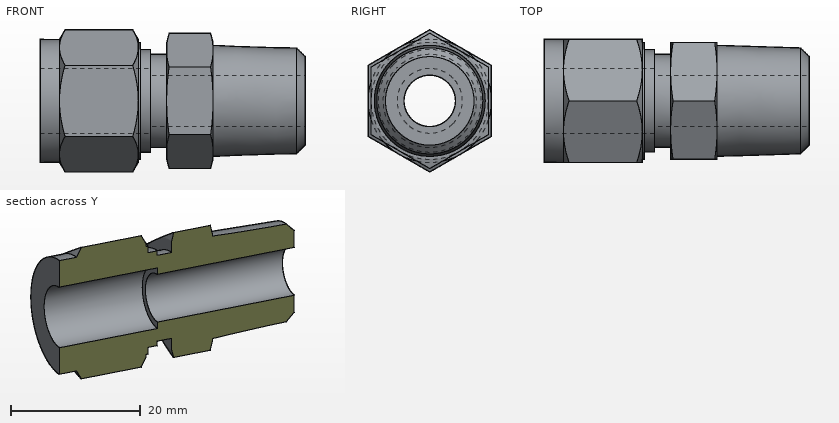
import cadquery as cq
import math


total_length = 40.9
collar_end = 3.0
nut_end = 15.15
washer_face_end = 15.45
shoulder_end = 17.05
neck_end = 19.5
body_hex_end = 26.65
taper_start = 27.15
taper_end = 39.5

nut_across_flats = 19.0
nut_chamfer_angle = 30.0
body_across_flats = 18.08
body_chamfer_angle = 15.0

collar_diameter = nut_across_flats
washer_face_diameter = body_across_flats
shoulder_diameter = 15.85
neck_diameter = 14.4
taper_large_diameter = 17.15
taper_diameter_ratio = 1 / 16
tip_diameter = 13.65

tube_socket_diameter = 10.02
tube_socket_depth = shoulder_end
through_bore_diameter = 7.9


def cylinder(start, end, diameter):
    """Cylinder along X between two stations."""
    return cq.Workplane("YZ").workplane(offset=start).circle(diameter / 2).extrude(end - start)


def revolve_about_x(points):
    """Revolve a closed (station, radius) outline around the X axis."""
    return cq.Workplane("XY").polyline(points).close().revolve(360, (0, 0, 0), (1, 0, 0))


def chamfered_hexagon(start, end, across_flats, chamfer_angle):
    """Hexagonal prism along X with its corners coned down to the inscribed circle at both ends."""
    flat_radius = across_flats / 2
    corner_radius = flat_radius / math.cos(math.radians(30))
    chamfer_length = (corner_radius - flat_radius) * math.tan(math.radians(chamfer_angle))
    prism = (
        cq.Workplane("YZ")
        .workplane(offset=start)
        .transformed(rotate=(0, 0, 90))
        .polygon(6, 2 * corner_radius)
        .extrude(end - start)
    )
    envelope = revolve_about_x([
        (start, 0),
        (start, flat_radius),
        (start + chamfer_length, corner_radius),
        (end - chamfer_length, corner_radius),
        (end, flat_radius),
        (end, 0),
    ])
    return prism.intersect(envelope)


def tapered_end():
    """Short cylindrical run, taper and chamfered tip of the male end."""
    large_radius = taper_large_diameter / 2
    small_radius = large_radius - (taper_end - taper_start) * taper_diameter_ratio / 2
    return revolve_about_x([
        (body_hex_end, 0),
        (body_hex_end, large_radius),
        (taper_start, large_radius),
        (taper_end, small_radius),
        (total_length, tip_diameter / 2),
        (total_length, 0),
    ])


collar = cylinder(0, collar_end, collar_diameter)
nut = chamfered_hexagon(collar_end, nut_end, nut_across_flats, nut_chamfer_angle)
washer_face = cylinder(nut_end, washer_face_end, washer_face_diameter)

shoulder = cylinder(washer_face_end, shoulder_end, shoulder_diameter)
neck = cylinder(shoulder_end, neck_end, neck_diameter)
body_hex = chamfered_hexagon(neck_end, body_hex_end, body_across_flats, body_chamfer_angle)

fitting = collar
for section in (nut, washer_face, shoulder, neck, body_hex, tapered_end()):
    fitting = fitting.union(section)

through_bore = cylinder(0, total_length, through_bore_diameter)
tube_socket = cylinder(0, tube_socket_depth, tube_socket_diameter)
result = fitting.cut(through_bore).cut(tube_socket)